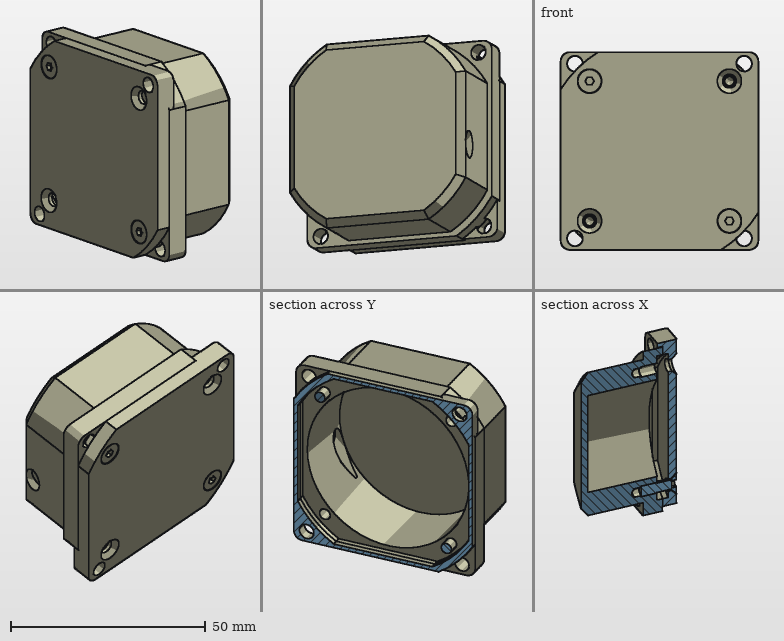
import cadquery as cq
import math

side = 51.0
total_depth = 27.0
plate_thickness = 4.0
lip_height = 1.55
corner_cut_radius = 30.0
ear_fillet = 2.5

cover_back = plate_thickness
flange_front = cover_back + lip_height
flange_back = flange_front + plate_thickness

cover_skin = 2.5

block_width = 48.55
block_corner_radius = 28.05
block_chamfer = 2.0
end_wall = 2.0
cavity_diameter = 46.0
cavity_end = total_depth - end_wall

port_diameter = 5.0
port_y = cavity_end - port_diameter / 2
port_z = -4.75
port_slant = math.radians(45)
port_reach = 12.75

ear_hole_diameter = 4.0
ear_hole_x = 21.8
ear_hole_z = 22.5

screw_offset = 18.0
sink_diameter = 6.2
clearance_diameter = 3.5
head_diameter = 6.0
shank_diameter = 3.0
tap_drill_diameter = 2.45
socket_across_flats = 2.0
socket_depth = 1.2
head_recess = (sink_diameter - head_diameter) / 2
screw_end = 10.0
drill_end = 12.0
drill_point_angle = math.radians(118)
hexagon_sides = 6

cover_corners = [(1, 1), (-1, -1)]
housing_corners = [(-1, 1), (1, -1)]
all_corners = cover_corners + housing_corners


def plane_at(y):
    """XZ sketch plane at the given Y, extruding toward +Y; its local x runs along -X."""
    return cq.Workplane(cq.Plane(origin=(0, y, 0), xDir=(-1, 0, 0), normal=(0, 1, 0)))


def disc(x, z, diameter, y_start, y_end):
    return plane_at(y_start).center(-x, z).circle(diameter / 2).extrude(y_end - y_start)


def cone(x, z, start_diameter, end_diameter, y_start, y_end):
    """Cone frustum along +Y; an end diameter of 0 gives a point."""
    base = cq.Vector(x, y_start, z)
    along_y = cq.Vector(0, 1, 0)
    solid = cq.Solid.makeCone(start_diameter / 2, end_diameter / 2, y_end - y_start, base, along_y)
    return cq.Workplane(solid)


def square_with_round_corners(width, corner_radius, y_start, y_end):
    """Square block whose corners are trimmed by a circle about the Y axis."""
    block = plane_at(y_start).rect(width, width).extrude(y_end - y_start)
    return block.intersect(disc(0, 0, 2 * corner_radius, y_start, y_end))


def ear(x_sign, z_sign, y_start, y_end):
    """Corner piece outside the trimming circle, with a rounded corner."""
    half = side / 2
    depth = y_end - y_start
    corner = plane_at(y_start).center(-x_sign * half / 2, z_sign * half / 2).rect(half, half).extrude(depth)
    outer_edge = cq.selectors.NearestToPointSelector((x_sign * half, y_start + depth / 2, z_sign * half))
    corner = corner.edges("|Y").edges(outer_edge).fillet(ear_fillet)
    return corner.cut(disc(0, 0, 2 * corner_cut_radius, y_start, y_end))


def eared_plate(corners, plate_start, plate_end, ear_start, ear_end):
    """Trimmed plate that keeps its full corners, as ears, at the given corners."""
    plate = square_with_round_corners(side, corner_cut_radius, plate_start, plate_end)
    for x_sign, z_sign in corners:
        plate = plate.union(ear(x_sign, z_sign, ear_start, ear_end))
    return plate.clean()


def cut_ear_holes(body, corners, y_start, y_end):
    for x_sign, z_sign in corners:
        body = body.cut(disc(x_sign * ear_hole_x, z_sign * ear_hole_z, ear_hole_diameter, y_start, y_end))
    return body


def make_cover():
    cover = eared_plate(cover_corners, 0, cover_back, 0, flange_front)
    cover = cut_ear_holes(cover, cover_corners, 0, flange_front)
    cover = cover.cut(
        square_with_round_corners(block_width, block_corner_radius, cover_skin, cover_back)
    )
    sink_depth = (sink_diameter - clearance_diameter) / 2
    for x_sign, z_sign in all_corners:
        x, z = x_sign * screw_offset, z_sign * screw_offset
        cover = cover.cut(disc(x, z, clearance_diameter, 0, cover_skin))
        cover = cover.cut(cone(x, z, sink_diameter, clearance_diameter, 0, sink_depth))
    return cover


def tapped_hole(x, z):
    """Threaded bore, then the tapping drill with its pointed end."""
    point_length = tap_drill_diameter / 2 / math.tan(drill_point_angle / 2)
    hole = disc(x, z, shank_diameter, flange_front, screw_end)
    hole = hole.union(disc(x, z, tap_drill_diameter, screw_end, drill_end))
    return hole.union(cone(x, z, tap_drill_diameter, 0, drill_end, drill_end + point_length))


def cable_port():
    """Bore that sinks toward -Z as it runs inward through the -X wall."""
    inward = cq.Vector(math.cos(port_slant), 0, -math.sin(port_slant))
    mouth = cq.Vector(-block_width / 2, port_y, port_z)
    bore = cq.Solid.makeCylinder(port_diameter / 2, 2 * port_reach, mouth - inward * port_reach, inward)
    return cq.Workplane(bore)


def make_housing():
    block = square_with_round_corners(block_width, block_corner_radius, flange_back, total_depth)
    block = block.faces(">Y").edges().chamfer(block_chamfer)
    flange = eared_plate(housing_corners, flange_front, flange_back, cover_back, flange_back)
    flange = cut_ear_holes(flange, housing_corners, cover_back, flange_back)
    lip = square_with_round_corners(side, corner_cut_radius, cover_back, flange_front)
    lip = lip.cut(square_with_round_corners(block_width, block_corner_radius, cover_back, flange_front))
    housing = flange.union(lip, clean=False).union(block, clean=False)
    housing = housing.cut(disc(0, 0, cavity_diameter, flange_front, cavity_end), clean=False)
    for x_sign, z_sign in all_corners:
        housing = housing.cut(tapped_hole(x_sign * screw_offset, z_sign * screw_offset), clean=False)
    return housing.cut(cable_port(), clean=False)


def make_screw(x, z):
    """Flat-head screw with a hexagon socket."""
    head_end = head_recess + (head_diameter - shank_diameter) / 2
    socket_across_corners = socket_across_flats / math.cos(math.pi / hexagon_sides)
    screw = cone(x, z, head_diameter, shank_diameter, head_recess, head_end)
    screw = screw.union(disc(x, z, shank_diameter, head_end, screw_end))
    hexagon = plane_at(head_recess).center(-x, z).polygon(hexagon_sides, socket_across_corners)
    socket = hexagon.extrude(socket_depth)
    return screw.cut(socket)


cover = make_cover()
housing = make_housing()
screws = [make_screw(x_sign * screw_offset, z_sign * screw_offset) for x_sign, z_sign in housing_corners]

result = cq.Compound.makeCompound([cover.val(), housing.val(), *[screw.val() for screw in screws]])